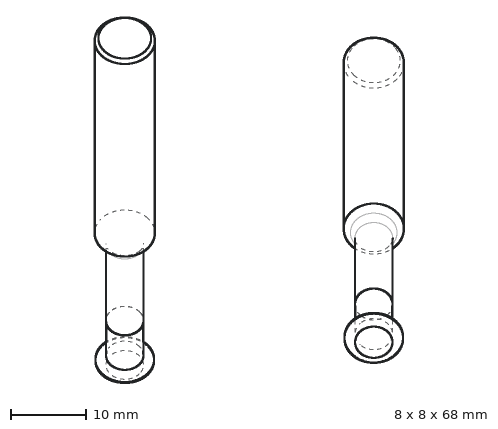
import cadquery as cq
import math

total_length = 68.0
joint_height = 9.2
shoulder_height = 27.4

shank_radius = 8.0 / 2
shank_neck_radius = 5.0 / 2
end_chamfer = 0.51
shoulder_fillet_radius = 2.0
shoulder_angle = math.radians(45)

head_neck_radius = 4.95 / 2
disc_radius = 7.8 / 2
tip_radius = head_neck_radius
disc_land_bottom = 0.95
disc_land_width = 0.2
disc_top_height = 2.0


def make_shank():
    """Round shank with a 45 degree shoulder blended into its neck by an arc."""
    arc_centre_radius = shank_neck_radius + shoulder_fillet_radius
    cone_end_radius = arc_centre_radius - shoulder_fillet_radius * math.cos(shoulder_angle)
    cone_height = (shank_radius - cone_end_radius) / math.tan(shoulder_angle)
    cone_end_height = shoulder_height - cone_height
    arc_bottom = cone_end_height - shoulder_fillet_radius * math.sin(shoulder_angle)
    arc_middle = (
        arc_centre_radius - shoulder_fillet_radius * math.cos(shoulder_angle / 2),
        arc_bottom + shoulder_fillet_radius * math.sin(shoulder_angle / 2),
    )
    profile = (
        cq.Workplane("XZ")
        .moveTo(0, joint_height)
        .lineTo(shank_neck_radius, joint_height)
        .lineTo(shank_neck_radius, arc_bottom)
        .threePointArc(arc_middle, (cone_end_radius, cone_end_height))
        .lineTo(shank_radius, shoulder_height)
        .lineTo(shank_radius, total_length - end_chamfer)
        .lineTo(shank_radius - end_chamfer, total_length)
        .lineTo(0, total_length)
        .close()
    )
    return profile.revolve(360, (0, 0), (0, 1))


def make_cutting_head():
    """Slim neck ending in a double-bevelled disc with a narrow cylindrical land."""
    profile = (
        cq.Workplane("XZ")
        .lineTo(tip_radius, 0)
        .lineTo(disc_radius, disc_land_bottom)
        .lineTo(disc_radius, disc_land_bottom + disc_land_width)
        .lineTo(head_neck_radius, disc_top_height)
        .lineTo(head_neck_radius, joint_height)
        .lineTo(0, joint_height)
        .close()
    )
    return profile.revolve(360, (0, 0), (0, 1))


shank = make_shank()
cutting_head = make_cutting_head()

result = cq.Compound.makeCompound([shank.val(), cutting_head.val()])